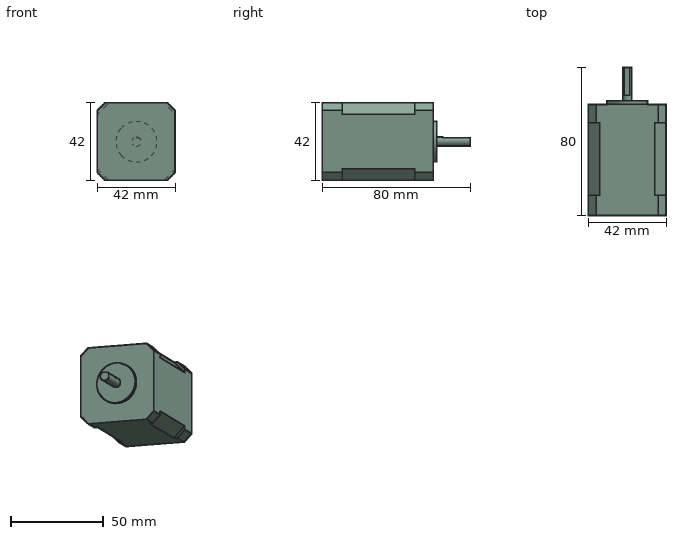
import cadquery as cq

body_width = 42.0
body_length = 60.0
end_chamfer = 4.3

back_cap_length = 11.0
front_cap_length = 10.0
middle_chamfer = 6.2

pilot_diameter = 22.0
pilot_height = 2.0

shaft_diameter = 5.0
shaft_length = 18.0
flat_length = 15.0
flat_depth = 0.5


def body_section(start, length, chamfer):
    """Square block along Y with its four long edges chamfered."""
    block = cq.Workplane("XY").box(body_width, length, body_width, centered=(True, False, True))
    return block.edges("|Y").chamfer(chamfer).translate((0, start, 0))


def cylinder(start, length, diameter):
    """Round bar on the motor axis, pointing toward +Y."""
    plane = cq.Workplane("XZ", origin=(0, start, 0))
    return plane.circle(diameter / 2).extrude(-length)


def motor_body():
    middle_length = body_length - back_cap_length - front_cap_length
    back_cap = body_section(0, back_cap_length, end_chamfer)
    middle = body_section(back_cap_length, middle_length, middle_chamfer)
    front_cap = body_section(body_length - front_cap_length, front_cap_length, end_chamfer)
    return back_cap.union(middle).union(front_cap)


def output_shaft():
    start = body_length + pilot_height
    tip = start + shaft_length
    flat_height = shaft_diameter / 2 - flat_depth
    shaft = cylinder(start, shaft_length, shaft_diameter)
    flat_cut = cq.Workplane("XY").box(
        shaft_diameter, flat_length, flat_depth, centered=(True, False, False)
    )
    return shaft.cut(flat_cut.translate((0, tip - flat_length, flat_height)))


pilot = cylinder(body_length, pilot_height, pilot_diameter)
result = motor_body().union(pilot).union(output_shaft())